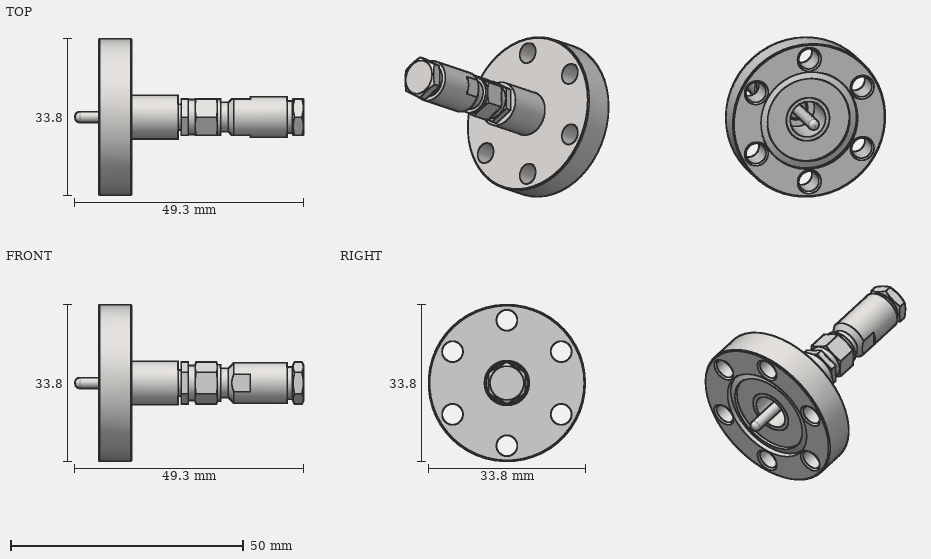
import cadquery as cq
import math


pin_tip_x = -5.1
flange_thickness = 7.15
sleeve_end_x = 17.1
socket_hex_start_x = 17.8
socket_hex_end_x = 19.3
coupling_start_x = 20.8
coupling_hex_end_x = 25.6
coupling_end_x = 26.25
barrel_cone_x = 27.95
barrel_end_x = 40.55
clamp_hex_x = 41.75
clamp_end_x = 44.2

flange_diameter = 33.75
flange_edge_chamfer = 0.25
recess_radius = 10.7
recess_depth = 1.2
knife_radius = 9.1
knife_tip_depth = 0.55
recess_floor_depth = 1.3
bolt_count = 6
bolt_circle_radius = 13.5
bolt_hole_radius = 2.2
bolt_hole_chamfer = 0.4

sleeve_radius = 4.75
flange_bore_radius = 4.8
sleeve_bore_radius = 3.9
sleeve_bore_end_x = 11.85
pin_radius = 1.2
pin_tip_round = 1.05
pin_shoulder_radius = 2.2
pin_shoulder_round = 0.5
shoulder_hole_chamfer = 0.25

hex_across_flats = 7.9
hex_corner_radius = hex_across_flats / math.sqrt(3)
socket_neck_radius = 2.8
socket_thread_radius = 3.8
coupling_rim_radius = hex_across_flats / 2
coupling_bevel_length = 0.2
barrel_radius = 4.4
barrel_neck_radius = 3.2
barrel_flat_end_x = 32.65
clamp_neck_radius = 3.5
clamp_end_radius = 3.65
clamp_bevel_length = 0.45


def cylinder(radius, start_x, end_x):
    """Solid cylinder on the X axis."""
    return cq.Workplane("YZ", origin=(start_x, 0, 0)).circle(radius).extrude(end_x - start_x)


def hex_prism(start_x, end_x):
    """Hexagonal prism on the X axis with corners toward +Z and -Z."""
    angles = [math.radians(90 + 60 * i) for i in range(6)]
    corners = [(hex_corner_radius * math.cos(a), hex_corner_radius * math.sin(a)) for a in angles]
    return cq.Workplane("YZ", origin=(start_x, 0, 0)).polyline(corners).close().extrude(end_x - start_x)


def revolve_profile(points):
    """Solid of revolution about X from (x, radius) points."""
    return cq.Workplane("XY").polyline(points).close().revolve(360, (0, 0, 0), (1, 0, 0))


def beveled_hex(start_x, end_x, end_radius, bevel_length):
    """Hexagonal prism whose corners are turned down to a cone at both ends."""
    turned_blank = revolve_profile([
        (start_x, 0),
        (start_x, end_radius),
        (start_x + bevel_length, hex_corner_radius),
        (end_x - bevel_length, hex_corner_radius),
        (end_x, end_radius),
        (end_x, 0),
    ])
    return hex_prism(start_x, end_x).intersect(turned_blank)


def make_flange():
    """Disc with a knife-edge seal recess, a clearance bore for the sleeve and bolt holes."""
    disc = cylinder(flange_diameter / 2, 0, flange_thickness).edges().chamfer(flange_edge_chamfer)
    recess = revolve_profile([
        (0, 0),
        (0, recess_radius),
        (recess_depth, recess_radius),
        (knife_tip_depth, knife_radius),
        (recess_floor_depth, knife_radius),
        (recess_floor_depth, 0),
    ])
    mouth_radius = bolt_hole_radius + bolt_hole_chamfer
    bolt_hole = revolve_profile([
        (0, 0),
        (0, mouth_radius),
        (bolt_hole_chamfer, bolt_hole_radius),
        (flange_thickness, bolt_hole_radius),
        (flange_thickness, 0),
    ]).translate((0, 0, bolt_circle_radius))
    flange = disc.cut(recess).cut(cylinder(flange_bore_radius, 0, flange_thickness))
    for i in range(bolt_count):
        flange = flange.cut(bolt_hole.rotate((0, 0, 0), (1, 0, 0), i * 360 / bolt_count))
    return flange


def make_sleeve():
    """Tube through the flange with a thick end wall that holds the pin shoulder."""
    tube = cylinder(sleeve_radius, recess_floor_depth, sleeve_end_x)
    bore = cylinder(sleeve_bore_radius, recess_floor_depth, sleeve_bore_end_x)
    shoulder_hole = revolve_profile([
        (sleeve_bore_end_x, 0),
        (sleeve_bore_end_x, pin_shoulder_radius + shoulder_hole_chamfer),
        (sleeve_bore_end_x + shoulder_hole_chamfer, pin_shoulder_radius),
        (sleeve_end_x, pin_shoulder_radius),
        (sleeve_end_x, 0),
    ])
    return tube.cut(bore).cut(shoulder_hole)


def make_pin():
    """Round-tipped pin with a wider, rounded shoulder at its rear."""
    rod = cylinder(pin_radius, pin_tip_x, sleeve_end_x).faces("<X").edges().fillet(pin_tip_round)
    shoulder = cylinder(pin_shoulder_radius, sleeve_bore_end_x, sleeve_end_x)
    shoulder = shoulder.faces("<X").edges().fillet(pin_shoulder_round)
    return rod.union(shoulder)


def make_socket():
    """Plug socket: neck, thin hexagon and thread cylinder."""
    neck = cylinder(socket_neck_radius, sleeve_end_x, socket_hex_start_x)
    thread = cylinder(socket_thread_radius, socket_hex_end_x, coupling_start_x)
    return hex_prism(socket_hex_start_x, socket_hex_end_x).union(neck).union(thread)


def make_coupling_nut():
    """Beveled hexagon with a round rim behind it."""
    body = beveled_hex(coupling_start_x, coupling_hex_end_x, coupling_rim_radius, coupling_bevel_length)
    rim = cylinder(coupling_rim_radius, coupling_hex_end_x, coupling_end_x)
    return body.union(rim)


def make_barrel():
    """Round barrel with a neck, a 45 degree cone and two wrench flats."""
    cone_end_x = barrel_cone_x + barrel_radius - barrel_neck_radius
    barrel = revolve_profile([
        (coupling_end_x, 0),
        (coupling_end_x, barrel_neck_radius),
        (barrel_cone_x, barrel_neck_radius),
        (cone_end_x, barrel_radius),
        (barrel_end_x, barrel_radius),
        (barrel_end_x, 0),
    ])
    flat_length = barrel_flat_end_x - barrel_cone_x
    for side in (-1, 1):
        cutter_center = (barrel_cone_x + flat_length / 2, side * (hex_across_flats / 2 + barrel_radius / 2), 0)
        cutter = cq.Workplane("XY").box(flat_length, barrel_radius, 2 * barrel_radius).translate(cutter_center)
        barrel = barrel.cut(cutter)
    return barrel


def make_clamp_nut():
    """Rear nut: short neck and beveled hexagon."""
    neck = cylinder(clamp_neck_radius, barrel_end_x, clamp_hex_x)
    body = beveled_hex(clamp_hex_x, clamp_end_x, clamp_end_radius, clamp_bevel_length)
    return body.union(neck)


flange = make_flange()
sleeve = make_sleeve()
pin = make_pin()
socket = make_socket()
coupling_nut = make_coupling_nut()
barrel = make_barrel()
clamp_nut = make_clamp_nut()

result = cq.Compound.makeCompound([
    flange.val(),
    sleeve.val(),
    pin.val(),
    socket.val(),
    coupling_nut.val(),
    barrel.val(),
    clamp_nut.val(),
])